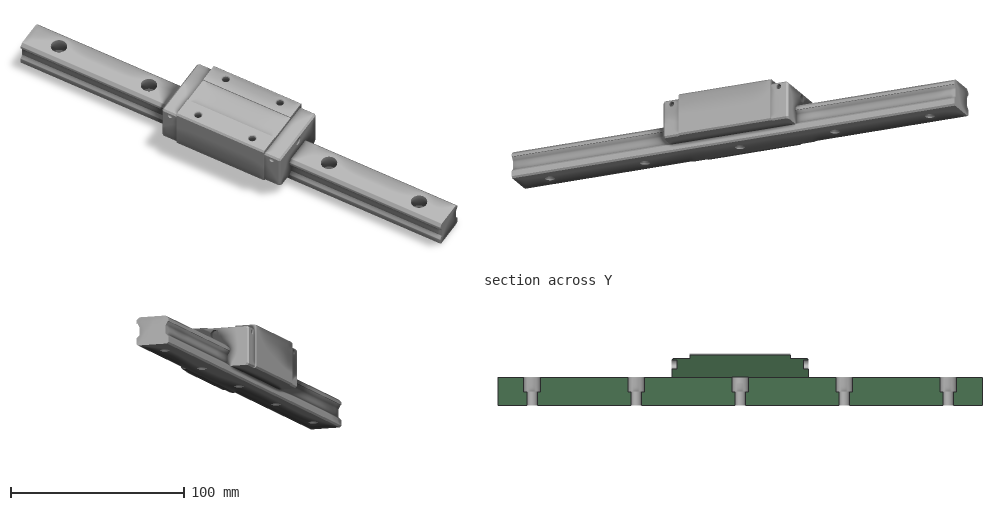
import cadquery as cq
import math

RAIL_LENGTH = 280.0
RAIL_WIDTH = 20.0
RAIL_HEIGHT = 16.5
HEAD_CHAMFER = 1.82
FOOT_CHAMFER = 0.98
NECK_WIDTH = 16.2
NECK_BLEND = 1.7
HEAD_UNDERSIDE = 13.2
NECK_TOP = 11.0
UNDERSIDE_SLOPE = 31.0
CORNER_ROUND = 0.5
FOOT_HEIGHT = 4.2

BOLT_COUNT = 5
BOLT_END_DISTANCE = 20.0
BOLT_DIAMETER = 6.0
BOLT_HEAD_DIAMETER = 9.5
BOLT_HEAD_DEPTH = 8.5

TOP_HEIGHT = 30.0
UNDERSIDE = 4.5
EDGE_CHAMFER = 0.98
BLOCK_LENGTH = 58.2
BLOCK_WIDTH = 44.0
CAP_WIDTH = 42.0
CAP_TOP = 27.5
CARRIAGE_LENGTH = 79.0

TOP_GROOVE_WIDTH = 18.0
TOP_GROOVE_DEPTH = 0.5

MOUNT_SPACING_X = 36.0
MOUNT_SPACING_Y = 32.0
MOUNT_DIAMETER = 4.2
MOUNT_MOUTH_DIAMETER = 5.0
MOUNT_MOUTH_ANGLE = 90
MOUNT_DEPTH = 5.5

END_PORT_DIAMETER = 5.0
END_PORT_HEIGHT = 23.8
SIDE_PORT_DIAMETER = 3.0
SIDE_PORT_HEIGHT = 24.5
SIDE_PORT_X = 34.0
PORT_DEPTH = 2.8

CAP_LENGTH = (CARRIAGE_LENGTH - BLOCK_LENGTH) / 2
CAP_CENTER_X = (BLOCK_LENGTH + CAP_LENGTH) / 2
BOLT_PITCH = (RAIL_LENGTH - 2 * BOLT_END_DISTANCE) / (BOLT_COUNT - 1)


def long_edges_at(y, z):
    """Selector for the two long edges of the rail at (y, z) and (-y, z)."""
    tolerance = 0.03
    left, right = [
        cq.selectors.BoxSelector(
            (-tolerance, side * y - tolerance, z - tolerance),
            (tolerance, side * y + tolerance, z + tolerance),
        )
        for side in (-1, 1)
    ]
    return left + right


def rail_bar():
    """Plain rail without bolt holes, running along X with its foot on Z = 0."""
    half_width = RAIL_WIDTH / 2
    half_neck = NECK_WIDTH / 2
    side_inset = half_width - half_neck
    shelf_edge = half_neck + (HEAD_UNDERSIDE - NECK_TOP) * math.tan(math.radians(UNDERSIDE_SLOPE))
    half_profile = [
        (half_width - FOOT_CHAMFER, 0),
        (half_width, FOOT_CHAMFER),
        (half_width, FOOT_HEIGHT),
        (half_neck, FOOT_HEIGHT + side_inset),
        (half_neck, NECK_TOP),
        (shelf_edge, HEAD_UNDERSIDE),
        (half_width, HEAD_UNDERSIDE),
        (half_width, RAIL_HEIGHT - HEAD_CHAMFER),
        (half_width - HEAD_CHAMFER, RAIL_HEIGHT),
    ]
    mirrored = [(-y, z) for y, z in reversed(half_profile)]
    bar = (
        cq.Workplane("YZ")
        .polyline(half_profile + mirrored)
        .close()
        .extrude(RAIL_LENGTH / 2, both=True)
    )
    rounded_edges = [
        (half_width - HEAD_CHAMFER, RAIL_HEIGHT, CORNER_ROUND),
        (half_width, RAIL_HEIGHT - HEAD_CHAMFER, CORNER_ROUND),
        (half_neck, NECK_TOP, NECK_BLEND),
        (half_width, FOOT_HEIGHT, CORNER_ROUND),
    ]
    for y, z, radius in rounded_edges:
        bar = bar.edges(long_edges_at(y, z)).fillet(radius)
    return bar


def make_rail():
    """Rail with a row of counterbored bolt holes."""
    return (
        rail_bar()
        .faces(">Z")
        .workplane(origin=(0, 0, RAIL_HEIGHT))
        .rarray(BOLT_PITCH, 2.8, BOLT_COUNT, 1)
        .cboreHole(BOLT_DIAMETER, BOLT_HEAD_DIAMETER, BOLT_HEAD_DEPTH)
    )


def box_on_underside(length, width, top, center_x):
    """Box standing on the carriage underside, with its four long edges chamfered."""
    return (
        cq.Workplane("XY", origin=(center_x, 0, UNDERSIDE))
        .box(length, width, top - UNDERSIDE, centered=(True, True, False))
        .edges("|X")
        .chamfer(EDGE_CHAMFER)
    )


def main_block():
    """Middle of the carriage: shallow groove along the top and four mounting holes."""
    block = box_on_underside(BLOCK_LENGTH, BLOCK_WIDTH, TOP_HEIGHT, 0)
    groove = cq.Workplane("XY", origin=(0, 0, TOP_HEIGHT)).box(
        BLOCK_LENGTH, TOP_GROOVE_WIDTH, 2 * TOP_GROOVE_DEPTH
    )
    return (
        block.cut(groove)
        .faces(">Z")
        .workplane(origin=(0, 0, TOP_HEIGHT))
        .rarray(MOUNT_SPACING_X, MOUNT_SPACING_Y, 2, 2)
        .cskHole(MOUNT_DIAMETER, MOUNT_MOUTH_DIAMETER, MOUNT_MOUTH_ANGLE, depth=MOUNT_DEPTH)
    )


def end_cap(side):
    """Cap at the -X (side = -1) or +X (side = 1) end of the block, with its grease ports."""
    center_x = side * CAP_CENTER_X
    end_x = side * CARRIAGE_LENGTH / 2
    outer_face = ">X" if side > 0 else "<X"
    cap = box_on_underside(CAP_LENGTH, CAP_WIDTH, CAP_TOP, center_x)
    cap = cap.faces(outer_face).edges("not <Z").chamfer(EDGE_CHAMFER)
    end_port = (
        cq.Workplane("YZ", origin=(end_x, 0, END_PORT_HEIGHT))
        .circle(END_PORT_DIAMETER / 2)
        .extrude(-side * PORT_DEPTH)
    )
    side_port = (
        cq.Workplane("XZ", origin=(side * SIDE_PORT_X, -CAP_WIDTH / 2, SIDE_PORT_HEIGHT))
        .circle(SIDE_PORT_DIAMETER / 2)
        .extrude(-PORT_DEPTH)
    )
    return cap.cut(end_port).cut(side_port).cut(side_port.mirror("XZ"))


def make_carriage():
    """Block with a cap on each end, hollowed to the rail's outline."""
    carriage = main_block()
    for side in (-1, 1):
        carriage = carriage.union(end_cap(side))
    return carriage.cut(rail_bar())


rail = make_rail()
carriage = make_carriage()

result = cq.Compound.makeCompound([rail.solids().val(), carriage.solids().val()])